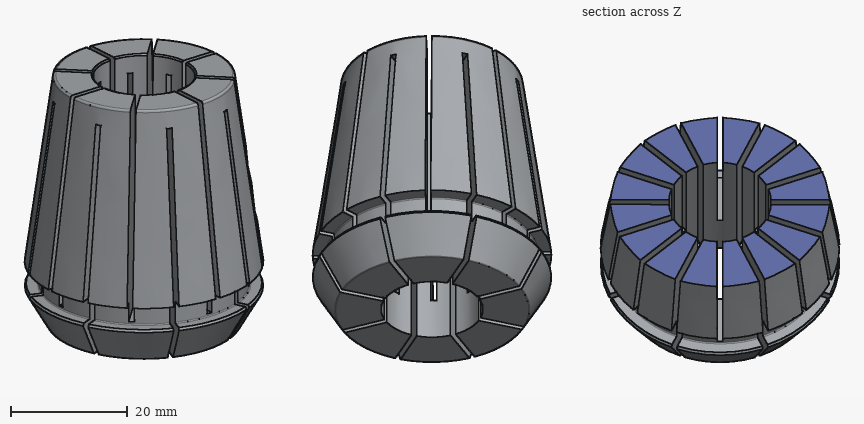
import cadquery as cq
import math

height = 46.0
flange_height = 7.05
neck_height = 4.05
cone_base_z = flange_height + neck_height

cone_base_radius = 41.0 / 2
neck_radius = 18.12
flange_radius = 20.45
bore_radius = 17.5 / 2

body_angle = 8.0
flange_angle = 30.0

nose_fillet = 0.45
bore_chamfer = 0.28
neck_fillet = 0.2
base_fillet = 0.2
rim_chamfer_height = 0.45

slot_count = 8
slot_width = 0.95
base_slot_top_z = 42.55
nose_slot_floor_z = 7.55

nose_radius = cone_base_radius - (height - cone_base_z) * math.tan(math.radians(body_angle))
flange_cone_height = flange_height - rim_chamfer_height
flange_base_radius = flange_radius - flange_cone_height * math.tan(math.radians(flange_angle))
flange_top_radius = flange_radius - rim_chamfer_height * math.tan(math.radians(flange_angle))


def make_body():
    """Revolve the closed half section: flange, neck groove and tapered body around the bore."""
    section = (
        cq.Workplane("XZ")
        .moveTo(bore_radius, 0)
        .lineTo(flange_base_radius, 0)
        .lineTo(flange_radius, flange_cone_height)
        .lineTo(flange_top_radius, flange_height)
        .lineTo(neck_radius + neck_fillet, flange_height)
        .radiusArc((neck_radius, flange_height + neck_fillet), neck_fillet)
        .lineTo(neck_radius, cone_base_z - neck_fillet)
        .radiusArc((neck_radius + neck_fillet, cone_base_z), neck_fillet)
        .lineTo(cone_base_radius, cone_base_z)
        .lineTo(nose_radius, height)
        .lineTo(bore_radius, height)
        .close()
    )
    return section.revolve(360, (0, 0, 0), (0, 1, 0))


def finish_ends(body):
    """Round the outer edges of both end faces and chamfer the bore mouth in the nose face."""
    body = body.faces("<Z").edges(cq.selectors.RadiusNthSelector(1)).fillet(base_fillet)
    body = body.faces(">Z").edges(cq.selectors.RadiusNthSelector(1)).fillet(nose_fillet)
    return body.faces(">Z").edges(cq.selectors.RadiusNthSelector(0)).chamfer(bore_chamfer)


def make_slots(bottom_z, top_z, first_angle):
    """Equally spaced radial slot cutters reaching from the axis past the widest radius."""
    reach = 2 * cone_base_radius
    blade = cq.Workplane("XY").box(reach, slot_width, top_z - bottom_z, centered=(False, True, False))
    blade = blade.translate((0, 0, bottom_z))
    slots = cq.Workplane("XY")
    for index in range(slot_count):
        angle = first_angle + index * 360 / slot_count
        slots = slots.add(blade.rotate((0, 0, 0), (0, 0, 1), angle))
    return slots.combine()


base_slots = make_slots(0, base_slot_top_z, 0)
nose_slots = make_slots(nose_slot_floor_z, height, 180 / slot_count)

result = finish_ends(make_body()).cut(base_slots).cut(nose_slots)